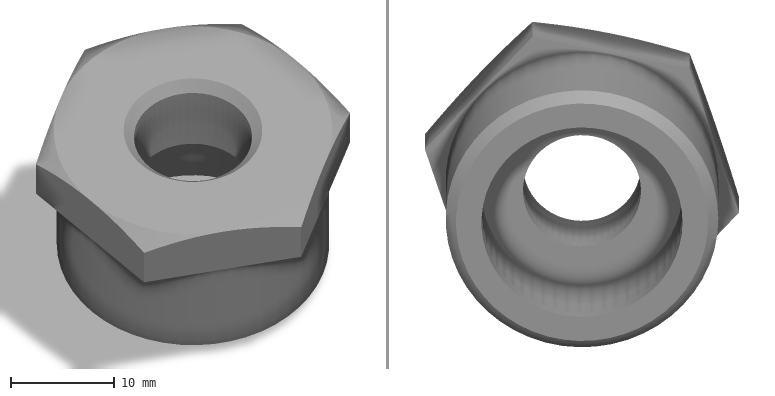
import cadquery as cq
import math

across_flats = 27.0
hex_sides = 6
half_side_angle = 180.0 / hex_sides
across_corners = across_flats / math.cos(math.radians(half_side_angle))
head_height = 5.5
head_chamfer_angle = 30.0

total_height = 17.5
shank_height = total_height - head_height
shank_diameter = 26.44
shank_chamfer = 1.0

bore_diameter = 11.445
bore_chamfer = 1.0
recess_diameter = 19.5
recess_depth = 9.1


def make_shank():
    """Round shank standing on Z = 0 with a chamfered lower edge."""
    shank = cq.Workplane("XY").circle(shank_diameter / 2).extrude(shank_height)
    return shank.faces("<Z").edges().chamfer(shank_chamfer)


def make_corner_chamfer_envelope():
    """Revolved body whose sloped top trims the head corners to a circle as wide as the flats."""
    flat_radius = across_flats / 2
    outer_radius = across_corners
    slope_drop = (outer_radius - flat_radius) * math.tan(math.radians(head_chamfer_angle))
    return (
        cq.Workplane("XZ")
        .moveTo(0, 0)
        .lineTo(outer_radius, 0)
        .lineTo(outer_radius, total_height - slope_drop)
        .lineTo(flat_radius, total_height)
        .lineTo(0, total_height)
        .close()
        .revolve(360, (0, 0, 0), (0, 1, 0))
    )


def make_head():
    """Hexagonal head with two corners on the Y axis and its top corners chamfered."""
    hexagon = (
        cq.Workplane("XY")
        .workplane(offset=shank_height)
        .polygon(hex_sides, across_corners)
        .extrude(head_height)
        .rotate((0, 0, 0), (0, 0, 1), half_side_angle)
    )
    return hexagon.intersect(make_corner_chamfer_envelope())


def make_bore():
    """Through bore with a 45 degree chamfer at the top and a wider recess at the bottom."""
    bore_radius = bore_diameter / 2
    recess_radius = recess_diameter / 2
    return (
        cq.Workplane("XZ")
        .moveTo(0, 0)
        .lineTo(recess_radius, 0)
        .lineTo(recess_radius, recess_depth)
        .lineTo(bore_radius, recess_depth)
        .lineTo(bore_radius, total_height - bore_chamfer)
        .lineTo(bore_radius + bore_chamfer, total_height)
        .lineTo(0, total_height)
        .close()
        .revolve(360, (0, 0, 0), (0, 1, 0))
    )


result = make_shank().union(make_head()).cut(make_bore())